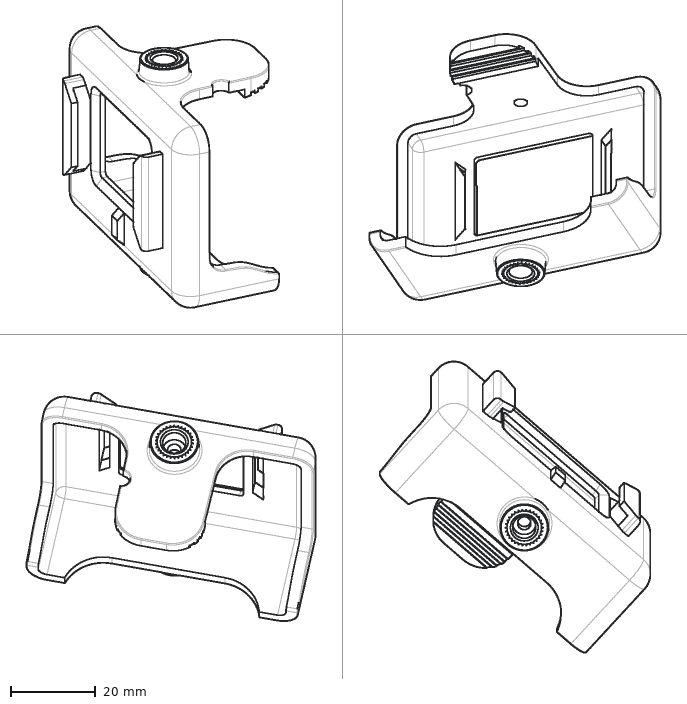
import cadquery as cq
import math


width = 65.55
height = 47.5
wall = 2.9
outer_radius = 5.0
inner_radius = outer_radius - wall
rim_depth = 7.75
edge_round = 0.25
total_depth = 36.3

tongue_root_half_width = 10.8
tongue_tip_half_width = 10.6
tongue_corner_radius = 7.55
tongue_root_radius = 7.55
thumb_notch_radius = 2.1
thumb_notch_y = 21

grip_length = 9.1
grip_tip_drop = 0.3
grip_slope = 0.21
groove_depth = 0.65
groove_width = 1.05
groove_pitch = 2.0
groove_count = 3
first_groove_from_tip = 2.3

arm_length = 25.95
arm_tip_height = 6.6
arm_shoulder_y = 17.7
arm_shoulder_height = 9.75
arm_root_height = 10.3
arm_root_radius = 4.1
arm_tip_radius = 0.8
arm_tip_slope = math.radians(12)
floor_edge_y = 18.5
floor_edge_half_width = 13.65
floor_corner_half_width = 23.45

opening_z = 2.8
window_width = 30.0
window_height = 22.2
window_radius = 1.0
window_flare = 1.9
window_flare_depth = 1.5

hook_height = 24.9
hook_reach = 5.0
hook_outer_x = 23.0
hook_inner_x = 17.25
hook_web = 3.2
hook_lip = 1.65
hook_bevel = 4.0
hook_round = 1.25
hook_bevel_round = 1.1

catch_width = 3.1
catch_height = 8.5
catch_top_z = -10.2
catch_reach = 1.8
catch_bevel = 1.7

boss_y = 11.15
boss_height = 4.0
boss_base_radius = 5.95
boss_top_radius = 5.7
boss_flare = 0.5
boss_rim_chamfer = 0.2
screw_hole_radius = 1.6

knurl_count = 30
knurl_root_radius = 4.05
knurl_tip_radius = 4.45
knurl_tooth_share = 0.5
insert_bore_radius = 2.75
insert_bore_chamfer = 0.5

half_height = height / 2
bevel_start_x = hook_inner_x + hook_bevel
tongue_underside_z = half_height - wall


def rounded_block(size_x, size_z, front_y, radius):
    """Block from front_y to the back, rounded on its front and lengthwise edges."""
    depth = total_depth - front_y
    block = cq.Workplane("XY").box(size_x, depth, size_z).translate((0, front_y + depth / 2, 0))
    return block.edges("|Y or <Y").fillet(radius)


def tongue_outline():
    """Plan of the tongue, from its root arcs at the rim to its rounded tip."""
    root_y = rim_depth + tongue_root_radius
    root_x = tongue_root_half_width + tongue_root_radius
    tip_y = total_depth - tongue_corner_radius
    tip_x = tongue_tip_half_width - tongue_corner_radius
    root_mid = tongue_root_radius * (1 - math.sqrt(0.5))
    tip_mid = tongue_corner_radius * math.sqrt(0.5)
    return (
        cq.Workplane("XY")
        .moveTo(-root_x, 0)
        .lineTo(-root_x, rim_depth)
        .threePointArc((-tongue_root_half_width - root_mid, rim_depth + root_mid),
                       (-tongue_root_half_width, root_y))
        .lineTo(-tongue_tip_half_width, tip_y)
        .threePointArc((-tip_x - tip_mid, tip_y + tip_mid), (-tip_x, total_depth))
        .lineTo(tip_x, total_depth)
        .threePointArc((tip_x + tip_mid, tip_y + tip_mid), (tongue_tip_half_width, tip_y))
        .lineTo(tongue_root_half_width, root_y)
        .threePointArc((tongue_root_half_width + root_mid, rim_depth + root_mid), (root_x, rim_depth))
        .lineTo(root_x, 0)
        .close()
    )


def arm_region():
    """Side profile of the lower arms, extruded over the full width."""
    bottom = -half_height
    slope_direction = (-math.cos(arm_tip_slope), math.sin(arm_tip_slope))
    root_direction = (-1, 0)
    tip_center_y = arm_length - arm_tip_radius
    tip_center_z = bottom + arm_tip_height - arm_tip_radius
    rim_z = bottom + arm_root_height + arm_root_radius
    crest = [
        (tip_center_y + arm_tip_radius * math.sin(arm_tip_slope),
         tip_center_z + arm_tip_radius * math.cos(arm_tip_slope)),
        (arm_shoulder_y, bottom + arm_shoulder_height),
        (rim_depth + arm_root_radius, bottom + arm_root_height),
    ]
    return (
        cq.Workplane("YZ")
        .moveTo(0, bottom)
        .lineTo(arm_length, bottom)
        .lineTo(arm_length, tip_center_z)
        .radiusArc(crest[0], -arm_tip_radius)
        .spline(crest[1:], tangents=[slope_direction, root_direction], includeCurrent=True)
        .radiusArc((rim_depth, rim_z), arm_root_radius)
        .lineTo(0, rim_z)
        .close()
        .extrude(width / 2, both=True)
    )


def floor_cutout():
    """Opening at the back of the floor, with one arc at each side."""
    run = floor_corner_half_width - floor_edge_half_width
    rise = arm_length - floor_edge_y
    radius = (run**2 + rise**2) / (2 * rise)
    return (
        cq.Workplane("XY", origin=(0, 0, -half_height))
        .moveTo(-floor_corner_half_width, total_depth)
        .lineTo(-floor_corner_half_width, arm_length)
        .radiusArc((-floor_edge_half_width, floor_edge_y), -radius)
        .lineTo(floor_edge_half_width, floor_edge_y)
        .radiusArc((floor_corner_half_width, arm_length), -radius)
        .lineTo(floor_corner_half_width, total_depth)
        .close()
        .extrude(half_height)
    )


def frame_shell():
    """Hollow front frame with its tongue and arms, outer back edges rounded."""
    shell = rounded_block(width, height, 0, outer_radius)
    rim = cq.Workplane("XY").box(width, 2 * rim_depth, height)
    tongue = tongue_outline().extrude(half_height)
    thumb_notch = (
        cq.Workplane("XY")
        .center(tongue_root_half_width, thumb_notch_y)
        .circle(thumb_notch_radius)
        .extrude(half_height)
    )
    arms = arm_region().cut(floor_cutout())
    shell = shell.intersect(rim.union(tongue.cut(thumb_notch)).union(arms))
    back_edges = [
        edge
        for edge in shell.faces(">Z").edges().vals()
        if edge.BoundingBox().ymin > outer_radius + edge_round
    ]
    shell = shell.newObject(back_edges).fillet(edge_round)
    return shell.cut(rounded_block(width - 2 * wall, height - 2 * wall, wall, inner_radius))


def drop_at(from_tip):
    """Depth of the grip below the tongue at a distance from the tongue tip."""
    return grip_tip_drop + grip_slope * from_tip


def grip():
    """Grooved wedge under the tongue tip, deepest at its back wall."""
    top = tongue_underside_z
    start_y = total_depth - grip_length
    side = (
        cq.Workplane("YZ")
        .moveTo(total_depth, top)
        .lineTo(total_depth, top - drop_at(0))
        .lineTo(start_y, top - drop_at(grip_length))
        .lineTo(start_y, top)
        .close()
        .extrude(width / 2, both=True)
    )
    plan = tongue_outline().extrude(half_height).intersect(
        cq.Workplane("XY").box(width, grip_length, height).translate((0, start_y + grip_length / 2, 0))
    )
    wedge = side.intersect(plan)
    for index in range(groove_count):
        near = first_groove_from_tip + index * groove_pitch
        far = near + groove_width
        groove = (
            cq.Workplane("YZ")
            .moveTo(total_depth - near, top - drop_at(near) + groove_depth)
            .lineTo(total_depth - far, top - drop_at(far) + groove_depth)
            .lineTo(total_depth - far, 0)
            .lineTo(total_depth - near, 0)
            .close()
            .extrude(width / 2, both=True)
        )
        wedge = wedge.cut(groove)
    return wedge


def window():
    """Rounded rectangular opening that flares towards the front face."""
    front_width = window_width + 2 * window_flare
    front_height = window_height + 2 * window_flare
    front = cq.Sketch().rect(front_width, front_height).vertices().fillet(window_radius + window_flare)
    back = cq.Sketch().rect(window_width, window_height).vertices().fillet(window_radius)
    straight = cq.Workplane("XZ", origin=(0, 0, opening_z)).placeSketch(back).extrude(-2 * wall)
    flare = (
        cq.Workplane("XZ", origin=(0, 0, opening_z))
        .placeSketch(front, back.moved(cq.Location(cq.Vector(0, 0, -window_flare_depth))))
        .loft()
    )
    return straight.union(flare)


def lip_outline(outer_x):
    """Hook outline on the front plane, bevelled on its inner side and cut off at outer_x."""
    half = hook_height / 2
    slope_x = min(outer_x, bevel_start_x)
    slope_z = half - (bevel_start_x - slope_x)
    points = [(hook_inner_x, half - hook_bevel), (slope_x, slope_z)]
    if outer_x > slope_x:
        points.append((outer_x, half))
    lower = [(x, -z) for x, z in reversed(points)]
    return cq.Workplane("XZ", origin=(0, 0, opening_z)).polyline(points + lower).close()


def hook():
    """L-shaped hook on the +X side, with its lip cut back at the top and bottom."""
    web_x = hook_outer_x - hook_web
    body = (
        cq.Workplane("XY", origin=(0, 0, opening_z - hook_height / 2))
        .moveTo(hook_outer_x, 0)
        .lineTo(hook_outer_x, -hook_reach)
        .lineTo(hook_inner_x, -hook_reach)
        .lineTo(hook_inner_x, hook_lip - hook_reach)
        .lineTo(web_x, hook_lip - hook_reach)
        .lineTo(web_x, 0)
        .close()
        .extrude(hook_height)
    )
    body = body.edges("|Z and >X and <Y").fillet(hook_round)
    face = lip_outline(hook_outer_x).extrude(hook_reach)
    for side in (1, -1):
        bevel_start = (bevel_start_x, -hook_reach / 2, opening_z + side * hook_height / 2)
        face = face.edges(cq.selectors.NearestToPointSelector(bevel_start)).fillet(hook_bevel_round)
    return body.intersect(face)


def lip_slot():
    """Slot through the front wall behind the lip of the +X hook, with the outline of the lip."""
    return lip_outline(hook_outer_x - hook_web).extrude(-2 * wall)


def catch():
    """Small rib on the front face, bevelled at both ends."""
    bottom_z = catch_top_z - catch_height
    return (
        cq.Workplane("YZ")
        .moveTo(0, catch_top_z)
        .lineTo(-catch_reach, catch_top_z - catch_bevel)
        .lineTo(-catch_reach, bottom_z + catch_bevel)
        .lineTo(0, bottom_z)
        .close()
        .extrude(catch_width / 2, both=True)
    )


def boss():
    """Tapered boss on the top wall; its foot flares out and is sunk into the wall."""
    foot_z = half_height - wall / 2
    top_z = half_height + boss_height
    flare_radius = boss_base_radius + boss_flare
    flare_mid = boss_flare * (1 - math.sqrt(0.5))
    return (
        cq.Workplane("XZ", origin=(0, boss_y, 0))
        .moveTo(0, foot_z)
        .lineTo(boss_base_radius, foot_z)
        .lineTo(flare_radius, half_height)
        .threePointArc((boss_base_radius + flare_mid, half_height + flare_mid),
                       (boss_base_radius, half_height + boss_flare))
        .lineTo(boss_top_radius, top_z - boss_rim_chamfer)
        .lineTo(boss_top_radius - boss_rim_chamfer, top_z)
        .lineTo(0, top_z)
        .close()
        .revolve(360, (0, 0, 0), (0, 1, 0))
    )


def knurled_core():
    """Solid knurled cylinder that fills the pocket of the top boss."""
    pitch = 2 * math.pi / knurl_count
    half_tooth = knurl_tooth_share * pitch / 2

    def polar(radius, angle):
        return (radius * math.sin(angle), radius * math.cos(angle))

    outline = cq.Workplane("XY", origin=(0, boss_y, half_height))
    outline = outline.moveTo(*polar(knurl_root_radius, -half_tooth))
    for tooth in range(knurl_count):
        middle = tooth * pitch
        outline = (
            outline.lineTo(*polar(knurl_tip_radius, middle))
            .lineTo(*polar(knurl_root_radius, middle + half_tooth))
            .threePointArc(polar(knurl_root_radius, middle + pitch / 2),
                           polar(knurl_root_radius, middle + pitch - half_tooth))
        )
    return outline.close().extrude(boss_height)


def insert():
    """Knurled ring in the top boss, with its bore chamfered at the mouth."""
    core = knurled_core()
    bore = (
        cq.Workplane("XY", origin=(0, boss_y, half_height))
        .circle(insert_bore_radius)
        .extrude(boss_height)
        .faces(">Z")
        .workplane()
        .circle(insert_bore_radius + insert_bore_chamfer)
        .workplane(offset=-insert_bore_chamfer)
        .circle(insert_bore_radius)
        .loft()
    )
    return core.cut(bore)


def frame():
    """Frame with window, hooks, catch, grip and the two bosses with their pockets."""
    body = frame_shell().union(grip())
    right_hook = hook()
    body = body.union(right_hook).union(right_hook.mirror("YZ")).union(catch())
    right_slot = lip_slot()
    body = body.cut(right_slot).cut(right_slot.mirror("YZ")).cut(window())
    top_boss = boss()
    pocket = knurled_core()
    body = body.union(top_boss).union(top_boss.mirror("XY"))
    body = body.cut(pocket).cut(pocket.mirror("XY"))
    screw_hole = (
        cq.Workplane("XY", origin=(0, boss_y, -height)).circle(screw_hole_radius).extrude(2 * height)
    )
    return body.cut(screw_hole)


frame_body = frame()
top_insert = insert()
inserts = [top_insert, top_insert.mirror("XY")]
result = cq.Compound.makeCompound([frame_body.val(), *[ring.val() for ring in inserts]])